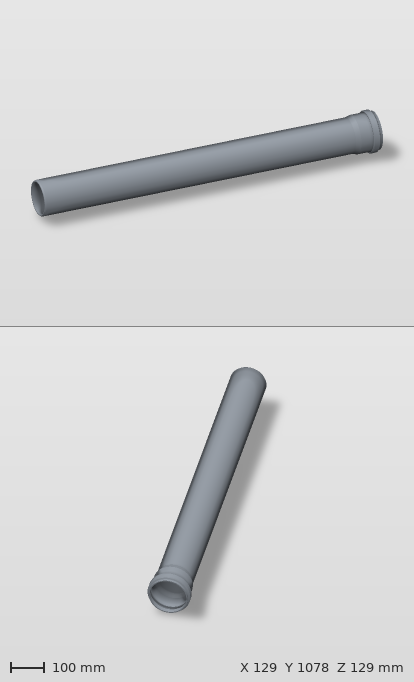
import cadquery as cq

length = 1078.0
pipe_diameter = 110.0
bore_diameter = 100.0
spigot_chamfer_length = 4.0
spigot_chamfer_depth = 2.0

socket_diameter = 119.0
socket_bore_diameter = 111.0
socket_depth = 69.0
taper_end_depth = 85.0

lip_diameter = 118.0
bead_diameter = 129.0
bead_start_depth = 8.0
bead_shoulder_depth = 10.0
bead_end_depth = 30.0
bead_chamfer = 2.0

groove_diameter = 123.0
groove_start_depth = 13.0
groove_end_depth = 26.0


def turn(profile):
    """Revolve (diameter, Y) points, closed along the axis, into a solid around Y."""
    points = [(diameter / 2, y) for diameter, y in profile]
    points = [(0, points[0][1])] + points + [(0, points[-1][1])]
    return cq.Workplane("XY").polyline(points).close().revolve(360, (0, 0, 0), (0, 1, 0))


def outer_body():
    return turn([
        (pipe_diameter - 2 * spigot_chamfer_depth, 0),
        (pipe_diameter, spigot_chamfer_length),
        (pipe_diameter, length - taper_end_depth),
        (socket_diameter, length - socket_depth),
        (socket_diameter, length - bead_end_depth),
        (bead_diameter - 2 * bead_chamfer, length - bead_end_depth),
        (bead_diameter, length - bead_end_depth + bead_chamfer),
        (bead_diameter, length - bead_shoulder_depth - bead_chamfer),
        (bead_diameter - 2 * bead_chamfer, length - bead_shoulder_depth),
        (lip_diameter, length - bead_start_depth),
        (lip_diameter, length),
    ])


def inner_space():
    return turn([
        (bore_diameter, 0),
        (bore_diameter, length - taper_end_depth),
        (socket_bore_diameter, length - socket_depth),
        (socket_bore_diameter, length - groove_end_depth),
        (groove_diameter, length - groove_end_depth),
        (groove_diameter, length - groove_start_depth),
        (socket_bore_diameter, length - groove_start_depth),
        (socket_bore_diameter, length),
    ])


result = outer_body().cut(inner_space())